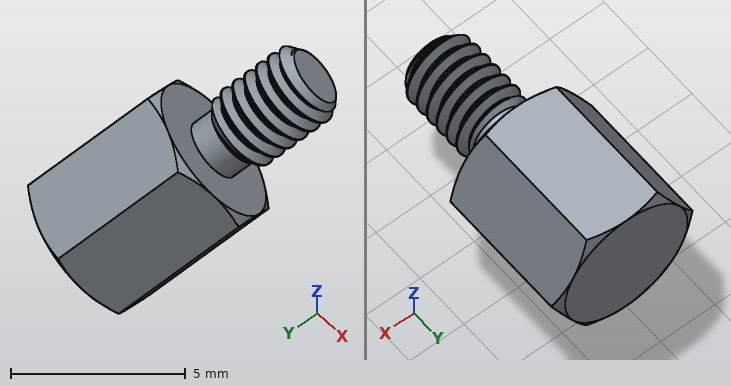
import cadquery as cq
import math

total_length = 8.9
head_length = 5.0
across_flats = 4.5
head_chamfer_angle = 30.0

neck_length = 0.77
neck_radius = 0.95

thread_diameter = 2.5
six_turn_length = 2.71
thread_half_angle = math.radians(30)
tip_radius = 0.91
groove_offset = 0.24
groove_overshoot = 0.03

across_corners = across_flats / math.cos(math.radians(30))
stud_length = total_length - head_length
thread_radius = thread_diameter / 2
thread_length = stud_length - neck_length
thread_pitch = six_turn_length / 6
sharp_height = thread_pitch / (2 * math.tan(thread_half_angle))
root_radius = thread_radius - 0.75 * sharp_height
flat_width = thread_pitch / 8


def make_head():
    """Hexagon along +Y with corners on the X axis and both ends chamfered."""
    flat_radius = across_flats / 2
    corner_radius = across_corners / 2
    chamfer_length = (corner_radius - flat_radius) * math.tan(math.radians(head_chamfer_angle))
    hexagon = cq.Workplane("XZ").polygon(6, across_corners).extrude(-head_length)
    chamfered_round = (
        cq.Workplane("XY")
        .moveTo(0, 0)
        .lineTo(flat_radius, 0)
        .lineTo(corner_radius, chamfer_length)
        .lineTo(corner_radius, head_length - chamfer_length)
        .lineTo(flat_radius, head_length)
        .lineTo(0, head_length)
        .close()
        .revolve(360, (0, 0, 0), (0, 1, 0))
    )
    return hexagon.intersect(chamfered_round)


def make_stud_blank():
    """Unthreaded stud along Z: tip at Z = 0, 45 degree chamfers at both thread ends."""
    tip_chamfer = thread_radius - tip_radius
    neck_chamfer = thread_radius - neck_radius
    return (
        cq.Workplane("XZ")
        .moveTo(0, 0)
        .lineTo(tip_radius, 0)
        .lineTo(thread_radius, tip_chamfer)
        .lineTo(thread_radius, thread_length - neck_chamfer)
        .lineTo(neck_radius, thread_length)
        .lineTo(neck_radius, stud_length)
        .lineTo(0, stud_length)
        .close()
        .revolve(360, (0, 0, 0), (0, 1, 0))
        .rotate((0, 0, 0), (0, 0, 1), 180)
    )


def make_thread_groove():
    """Right-handed 60 degree groove that runs out past the tip and over the neck."""
    start = groove_offset - 2 * thread_pitch
    run_length = thread_length + thread_pitch / 2 - start
    outer_radius = thread_radius + groove_overshoot
    root_half = flat_width / 2
    outer_half = root_half + (outer_radius - root_radius) * math.tan(thread_half_angle)

    section = [
        (root_radius, -root_half),
        (outer_radius, -outer_half),
        (outer_radius, outer_half),
        (root_radius, root_half),
    ]
    edges = [
        cq.Wire.makeHelix(thread_pitch, run_length, radius).translate(cq.Vector(0, 0, start + shift))
        for radius, shift in section
    ]
    faces = []
    for edge, next_edge in zip(edges, edges[1:] + edges[:1]):
        faces += cq.Face.makeRuledSurface(edge, next_edge).Faces()
    for corners in ([e.startPoint() for e in edges], [e.endPoint() for e in edges]):
        faces.append(cq.Face.makeFromWires(cq.Wire.makePolygon(corners, close=True)))
    return cq.Solid.makeSolid(cq.Shell.makeShell(faces)).fix()


stud = (
    make_stud_blank()
    .cut(cq.Workplane(obj=make_thread_groove()))
    .rotate((0, 0, 0), (1, 0, 0), -90)
    .translate((0, -stud_length, 0))
)
result = make_head().union(stud)